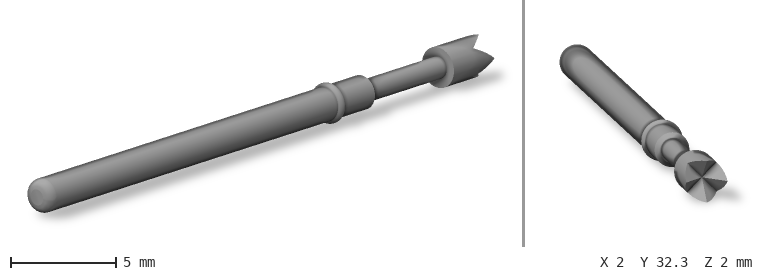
import cadquery as cq
import math

LENGTH = 32.3
CROWN_DIAMETER = 2.0
CROWN_LENGTH = 2.97
NECK_DIAMETER = 1.1
BARREL_DIAMETER = 1.68
BARREL_START = 8.33
BARREL_CHAMFER = 0.23
TAIL_RADIUS = 0.45
COLLAR_POSITION = 11.0
COLLAR_DIAMETER = 2.0
COLLAR_WIDTH = 0.52
NOTCH_ANGLE = 60.0

TIP_Y = LENGTH / 2
TAIL_Y = -LENGTH / 2


def cylinder_along_y(diameter, start_y, end_y):
    """Cylinder centred on the Y axis, from start_y up to end_y."""
    base = cq.Workplane("XZ", origin=(0, start_y, 0))
    return base.circle(diameter / 2).extrude(start_y - end_y)


def make_barrel():
    """Barrel with a chamfered mouth and a rounded tail."""
    barrel = cylinder_along_y(BARREL_DIAMETER, TAIL_Y, TIP_Y - BARREL_START)
    return barrel.faces(">Y").chamfer(BARREL_CHAMFER).faces("<Y").edges().fillet(TAIL_RADIUS)


def make_collar():
    """Rounded press ring around the barrel."""
    middle_y = TIP_Y - COLLAR_POSITION
    half_width = COLLAR_WIDTH / 2
    straight_radius = COLLAR_DIAMETER / 2 - half_width
    profile = (
        cq.Workplane("XY")
        .moveTo(0, middle_y - half_width)
        .lineTo(straight_radius, middle_y - half_width)
        .threePointArc((COLLAR_DIAMETER / 2, middle_y), (straight_radius, middle_y + half_width))
        .lineTo(0, middle_y + half_width)
        .close()
    )
    return profile.revolve(360, (0, 0, 0), (0, 1, 0))


def make_crown():
    """Head with four teeth on the X and Z axes, cut by two crossing diagonal V notches."""
    crown = cylinder_along_y(CROWN_DIAMETER, TIP_Y - CROWN_LENGTH, TIP_Y)
    half_opening = CROWN_DIAMETER / 2 * math.sin(math.radians(45))
    slope = 1 / math.tan(math.radians(NOTCH_ANGLE / 2))
    depth = half_opening * slope
    cutter_half_width = 2 * half_opening
    cutter_top_y = TIP_Y - depth + cutter_half_width * slope
    notch = (
        cq.Workplane("XY")
        .moveTo(0, TIP_Y - depth)
        .lineTo(cutter_half_width, cutter_top_y)
        .lineTo(-cutter_half_width, cutter_top_y)
        .close()
        .extrude(CROWN_DIAMETER, both=True)
    )
    for angle in (45, -45):
        crown = crown.cut(notch.rotate((0, 0, 0), (0, 1, 0), angle))
    return crown


neck = cylinder_along_y(NECK_DIAMETER, TIP_Y - BARREL_START, TIP_Y - CROWN_LENGTH)
result = make_barrel().union(make_collar()).union(neck).union(make_crown())